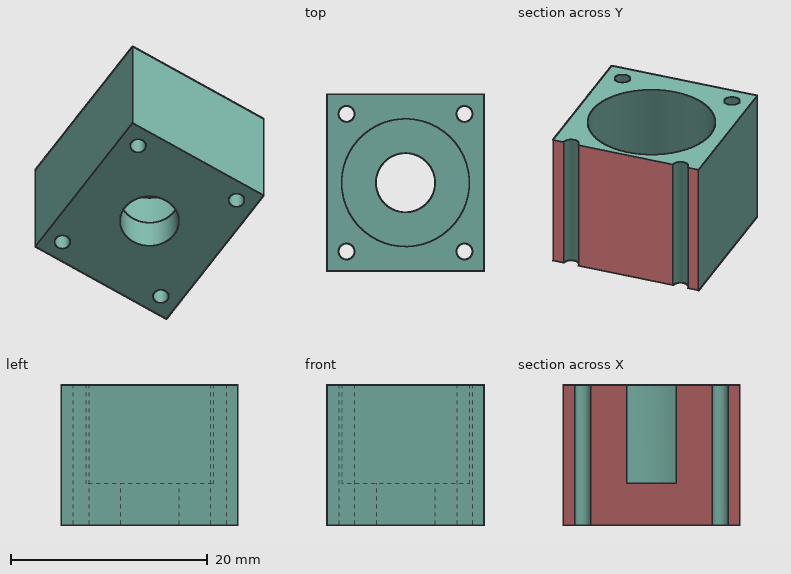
import cadquery as cq

width = 16.0
length = 18.0
height = 14.3

bore_diameter = 13.0
bore_depth = 10.0
floor_hole_diameter = 6.0

corner_hole_diameter = 1.6
corner_hole_edge_distance = 2.0
corner_spacing_x = width - 2 * corner_hole_edge_distance
corner_spacing_y = length - 2 * corner_hole_edge_distance


def make_block():
    return cq.Workplane("XY").box(width, length, height, centered=(True, True, False))


def cut_stepped_bore(body):
    return body.faces(">Z").workplane().cboreHole(floor_hole_diameter, bore_diameter, bore_depth)


def cut_corner_holes(body):
    top = body.faces(">Z").workplane(centerOption="CenterOfBoundBox")
    return top.rarray(corner_spacing_x, corner_spacing_y, 2, 2).hole(corner_hole_diameter)


result = cut_corner_holes(cut_stepped_bore(make_block()))